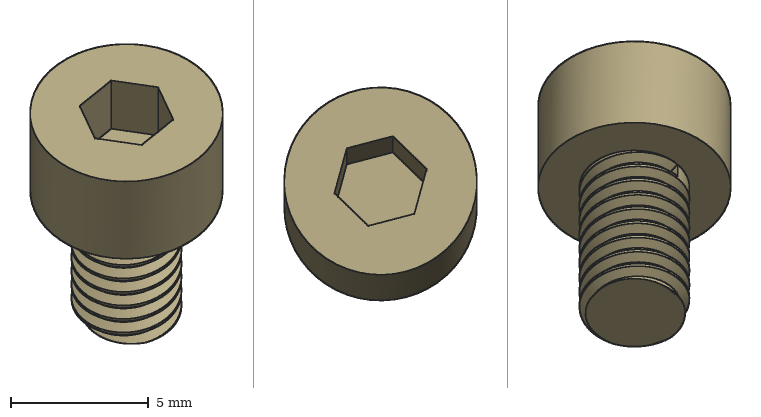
import cadquery as cq
import math


HEAD_DIAMETER = 7.0
HEAD_HEIGHT = 4.0

SOCKET_SIDES = 6
SOCKET_ACROSS_FLATS = 3.0
SOCKET_CORNER_ANGLE = 90.0
SOCKET_DEPTH = 2.5

SHANK_DIAMETER = 4.0
SHANK_LENGTH = 6.0
THREAD_PITCH = 0.7
THREAD_DEPTH = 0.335
THREAD_ANGLE = 60.0
CREST_WIDTH = 0.12
GROOVE_END_ANGLE = 244.0
GROOVE_END_Z = -0.28
CUT_OVERSHOOT = 0.04


def make_head():
    """Plain cylindrical head with a blind hexagonal socket in its top face."""
    across_corners = SOCKET_ACROSS_FLATS / math.cos(math.pi / SOCKET_SIDES)
    head = cq.Workplane("XY").circle(HEAD_DIAMETER / 2).extrude(HEAD_HEIGHT)
    socket = (
        cq.Workplane("XY", origin=(0, 0, HEAD_HEIGHT - SOCKET_DEPTH))
        .transformed(rotate=(0, 0, SOCKET_CORNER_ANGLE))
        .polygon(SOCKET_SIDES, across_corners)
        .extrude(SOCKET_DEPTH)
    )
    return head.cut(socket)


def make_thread_groove():
    """Right-handed helical V groove with a flat root, running out past the shank tip."""
    shank_radius = SHANK_DIAMETER / 2
    root_radius = shank_radius - THREAD_DEPTH
    cutter_radius = shank_radius + CUT_OVERSHOOT
    flank_slope = math.tan(math.radians(THREAD_ANGLE / 2))
    mouth_half = (THREAD_PITCH - CREST_WIDTH) / 2
    root_half = mouth_half - THREAD_DEPTH * flank_slope
    cutter_half = mouth_half + CUT_OVERSHOOT * flank_slope

    turns = math.ceil(SHANK_LENGTH / THREAD_PITCH)
    groove_height = turns * THREAD_PITCH
    path = cq.Wire.makeHelix(THREAD_PITCH, groove_height, root_radius)
    profile = cq.Workplane("XZ").polyline([
        (root_radius, -root_half),
        (cutter_radius, -cutter_half),
        (cutter_radius, cutter_half),
        (root_radius, root_half),
    ]).close()
    groove = profile.sweep(cq.Workplane(obj=path), isFrenet=True)
    return (
        groove
        .rotate((0, 0, 0), (0, 0, 1), GROOVE_END_ANGLE)
        .translate((0, 0, GROOVE_END_Z - groove_height))
    )


def make_shank():
    """Threaded shank, hanging down from the underside of the head."""
    shank = cq.Workplane("XY").circle(SHANK_DIAMETER / 2).extrude(-SHANK_LENGTH)
    return shank.cut(make_thread_groove())


result = make_head().union(make_shank()).solids()